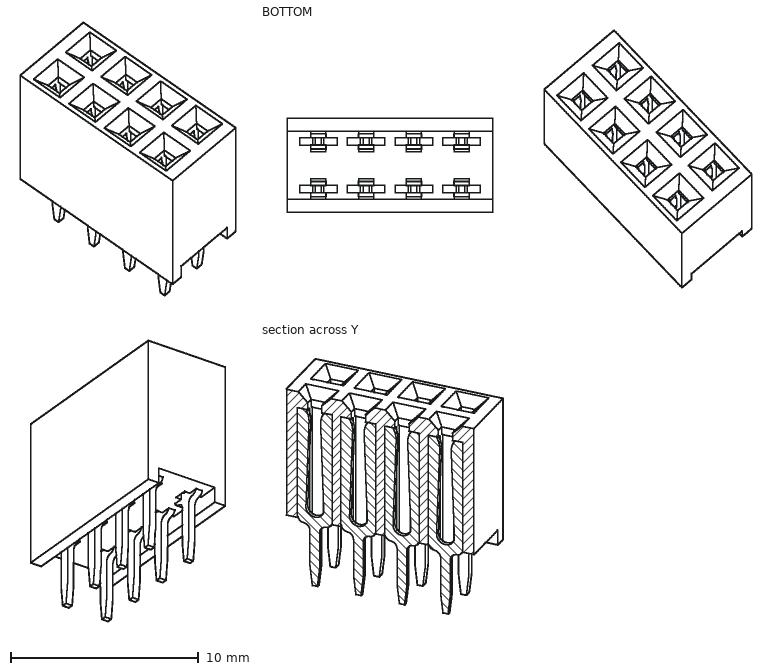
import cadquery as cq
import math

COLUMNS = 4
ROWS = 2
PITCH = 2.54

HOUSING_LENGTH = 10.96
HOUSING_WIDTH = 5.0
HOUSING_HEIGHT = 8.5
CHANNEL_WIDTH = 3.62
CHANNEL_HEIGHT = 0.9

FUNNEL_MOUTH = 1.91
HOLE_SIZE = 0.8
FUNNEL_DEPTH = (FUNNEL_MOUTH - HOLE_SIZE) / 2
HOLE_DEPTH = 0.45
CAVITY_TOP = HOUSING_HEIGHT - FUNNEL_DEPTH - HOLE_DEPTH
CAVITY_WIDTH = CHANNEL_WIDTH - (ROWS - 1) * PITCH

CONTACT_THICKNESS = 0.4
FORK_HALF_WIDTH = 1.0
FORK_RADIUS = 0.51
FORK_BOTTOM = 1.16
GRIP_HALF_GAP = 0.32
GRIP_RADIUS = 1.26
TAIL_WIDTH = 0.6
TIP_WIDTH = 0.32
TIP_Z = HOUSING_HEIGHT - 11.5
TAPER_LENGTH = 1.16
NECK_Z = 0.3
SHOULDER_RADIUS = 0.36
SHOULDER_SLOPE = math.radians(10)


def grid_points():
    """Centres of the pin positions in X and Y."""
    return [
        ((column - (COLUMNS - 1) / 2) * PITCH, (row - (ROWS - 1) / 2) * PITCH)
        for column in range(COLUMNS)
        for row in range(ROWS)
    ]


def box_between(x_size, y_size, bottom, top):
    """A box centred on the Z axis, from z = bottom to z = top."""
    return cq.Workplane("XY").workplane(offset=bottom).rect(x_size, y_size).extrude(top - bottom)


def make_pin_opening():
    """Everything cut from the housing at one pin position, centred on the Z axis."""
    funnel = (
        cq.Workplane("XY")
        .workplane(offset=HOUSING_HEIGHT)
        .rect(FUNNEL_MOUTH, FUNNEL_MOUTH)
        .workplane(offset=-FUNNEL_DEPTH)
        .rect(HOLE_SIZE, HOLE_SIZE)
        .loft(ruled=True)
    )
    hole = box_between(HOLE_SIZE, HOLE_SIZE, CAVITY_TOP, HOUSING_HEIGHT - FUNNEL_DEPTH)
    cavity = box_between(HOLE_SIZE, CAVITY_WIDTH, CHANNEL_HEIGHT, CAVITY_TOP)
    fork_slot = box_between(2 * FORK_HALF_WIDTH, CONTACT_THICKNESS, CHANNEL_HEIGHT, CAVITY_TOP)
    return funnel.union(hole).union(cavity.union(fork_slot))


def make_housing():
    """Block with a channel along its underside and an opening at each pin position."""
    body = box_between(HOUSING_LENGTH, HOUSING_WIDTH, 0, HOUSING_HEIGHT)
    body = body.cut(box_between(HOUSING_LENGTH, CHANNEL_WIDTH, 0, CHANNEL_HEIGHT))
    opening = make_pin_opening()
    for x, y in grid_points():
        body = body.cut(opening.translate((x, y, 0)))
    return body


def arc_point(center, radius, angle):
    """Point on a circle in the XZ plane, at an angle from +X."""
    return (center[0] + radius * math.cos(angle), center[1] + radius * math.sin(angle))


def make_contact():
    """Fork with its tail, centred on the Z axis and flat in the XZ plane."""
    neck_center = (TAIL_WIDTH / 2 + SHOULDER_RADIUS, NECK_Z)
    neck_end_angle = math.pi / 2 + SHOULDER_SLOPE
    neck_end = arc_point(neck_center, SHOULDER_RADIUS, neck_end_angle)
    shoulder_start_angle = SHOULDER_SLOPE - math.pi / 2
    shoulder_x = FORK_HALF_WIDTH - SHOULDER_RADIUS
    underside_run = shoulder_x + SHOULDER_RADIUS * math.cos(shoulder_start_angle) - neck_end[0]
    shoulder_start = (neck_end[0] + underside_run, neck_end[1] + underside_run * math.tan(SHOULDER_SLOPE))
    shoulder_z = shoulder_start[1] - SHOULDER_RADIUS * math.sin(shoulder_start_angle)
    shoulder_center = (shoulder_x, shoulder_z)

    lead_in_angle = math.acos(1 - (FORK_RADIUS - GRIP_HALF_GAP) / GRIP_RADIUS)
    grip_center = (GRIP_HALF_GAP + GRIP_RADIUS, CAVITY_TOP - GRIP_RADIUS * math.sin(lead_in_angle))
    fork_center = (0, FORK_BOTTOM + FORK_RADIUS)

    half_outline = (
        cq.Workplane("XZ")
        .moveTo(0, TIP_Z)
        .lineTo(TIP_WIDTH / 2, TIP_Z)
        .lineTo(TAIL_WIDTH / 2, TIP_Z + TAPER_LENGTH)
        .lineTo(TAIL_WIDTH / 2, NECK_Z)
        .threePointArc(arc_point(neck_center, SHOULDER_RADIUS, (math.pi + neck_end_angle) / 2), neck_end)
        .lineTo(*shoulder_start)
        .threePointArc(
            arc_point(shoulder_center, SHOULDER_RADIUS, shoulder_start_angle / 2),
            (FORK_HALF_WIDTH, shoulder_z),
        )
        .lineTo(FORK_HALF_WIDTH, CAVITY_TOP)
        .lineTo(FORK_RADIUS, CAVITY_TOP)
        .threePointArc(
            arc_point(grip_center, GRIP_RADIUS, math.pi - lead_in_angle / 2),
            (GRIP_HALF_GAP, grip_center[1]),
        )
        .lineTo(FORK_RADIUS, fork_center[1])
        .threePointArc(arc_point(fork_center, FORK_RADIUS, -math.pi / 4), (0, FORK_BOTTOM))
    )
    return half_outline.mirrorY().extrude(CONTACT_THICKNESS / 2, both=True)


housing = make_housing()
contact = make_contact()
contacts = [contact.translate((x, y, 0)) for x, y in grid_points()]

result = cq.Compound.makeCompound([housing.val(), *[placed.val() for placed in contacts]])